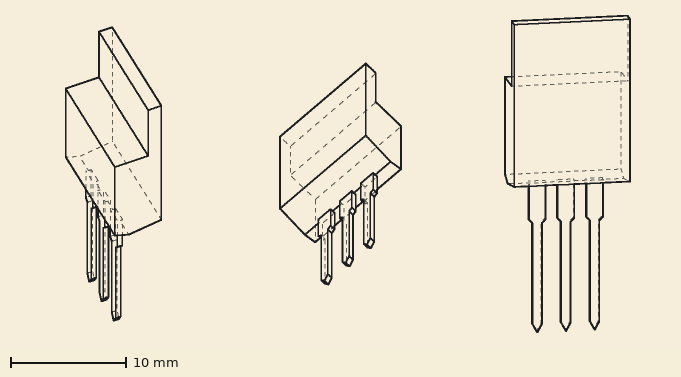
import cadquery as cq

package_width = 10.25
package_depth = 4.46
package_height = 28.52

tab_thickness = 1.27
tab_height = 5.84
body_top = package_height - tab_height
body_side_bottom = 13.93
ridge_drop = 0.5
ridge_bottom = body_side_bottom - ridge_drop

lead_count = 3
lead_pitch = 2.54
lead_thickness = 0.5
lead_back = -2.89
ridge_y = lead_back - lead_thickness / 2
shoulder_width = 1.46
shank_width = 0.82
shoulder_bottom = 10.12
shank_top = shoulder_bottom - (shoulder_width - shank_width) / 2
tip_height = 0.75
lead_embedment = 1.0


def make_package():
    """Tab and body as one side outline in the YZ plane, ending in a ridge centred on the leads."""
    outline = [
        (0, package_height),
        (-tab_thickness, package_height),
        (-tab_thickness, body_top),
        (-package_depth, body_top),
        (-package_depth, body_side_bottom),
        (ridge_y, ridge_bottom),
        (0, body_side_bottom),
    ]
    profile = cq.Workplane("YZ").polyline(outline).close()
    return profile.extrude(package_width / 2, both=True)


def make_lead(center_x):
    """Flat lead with a wide shoulder, a narrow shank and a pointed tip, rooted inside the body."""
    lead_top = body_side_bottom + lead_embedment
    half_shoulder = shoulder_width / 2
    half_shank = shank_width / 2
    outline = [
        (-half_shoulder, lead_top),
        (half_shoulder, lead_top),
        (half_shoulder, shoulder_bottom),
        (half_shank, shank_top),
        (half_shank, tip_height),
        (0, 0),
        (-half_shank, tip_height),
        (-half_shank, shank_top),
        (-half_shoulder, shoulder_bottom),
    ]
    face_plane = cq.Workplane("XZ", origin=(center_x, lead_back, 0))
    return face_plane.polyline(outline).close().extrude(lead_thickness)


result = make_package()
for index in range(lead_count):
    lead_offset = index - (lead_count - 1) / 2
    result = result.union(make_lead(lead_offset * lead_pitch))